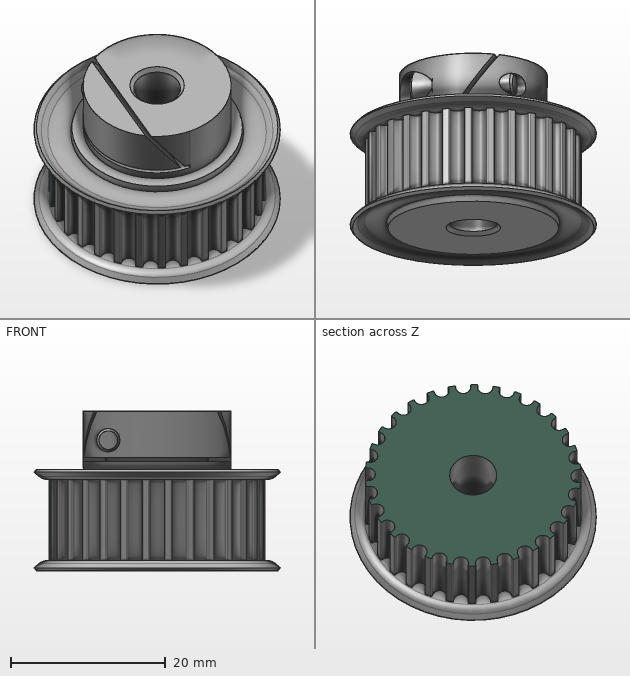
import cadquery as cq
import math


tooth_count = 30
tip_radius = 13.95
groove_radius = 0.95
groove_depth = 1.3
lip_radius = 0.15
body_height = 13.1

flange_radius = 15.9
flange_thickness = 0.5
bend_start_radius = 14.1
bend_inner_radius = 1.3
bend_angle = math.radians(40.5)
collar_top_radius = 11.0
collar_base_radius = 11.15

bend_outer_radius = bend_inner_radius + flange_thickness
arc_end_radius = bend_start_radius + bend_outer_radius * math.sin(bend_angle)
cone_rise = (flange_radius - arc_end_radius) * math.tan(bend_angle)
rim_edge_run = flange_thickness * math.sin(bend_angle)
rim_edge_rise = flange_thickness * math.cos(bend_angle)
rim_tip_z = body_height - rim_edge_rise
bend_center_z = rim_tip_z - cone_rise + bend_outer_radius * math.cos(bend_angle)
flange_floor_z = bend_center_z - bend_inner_radius
flange_underside_z = flange_floor_z - flange_thickness

hub_radius = 9.55
total_height = 20.6
bore_radius = 3.0
bore_chamfer = 0.5

slot_width = 0.5
slot_bottom = 14.1
slot_core_radius = 6.66
slit_top_y = -4.94
slit_angle = 35
slit_length = 7.55

screw_x = -6.3
screw_z = (body_height + total_height) / 2
shank_radius = 1.5
shank_tip_y = -7.2
shank_chamfer = 0.3
head_radius = 2.68
head_seat_y = 3.13
head_end_y = 6.15
head_chamfer = 0.27
counterbore_radius = 2.75


def cylinder_z(radius, bottom, top):
    return cq.Workplane("XY").workplane(offset=bottom).circle(radius).extrude(top - bottom)


def cylinder_y(radius, start, end):
    """Cylinder on the clamp screw axis between two Y positions."""
    plane = cq.Plane(origin=(screw_x, start, screw_z), xDir=(1, 0, 0), normal=(0, 1, 0))
    return cq.Workplane(plane).circle(radius).extrude(end - start)


def tooth_groove():
    """Round-bottomed groove cutter on +Y with rounded lips at the tooth tips."""
    arc_y = tip_radius - groove_depth + groove_radius
    lip_x = groove_radius + lip_radius
    lip_y = math.sqrt((tip_radius - lip_radius) ** 2 - lip_x ** 2)
    to_tip = tip_radius / (tip_radius - lip_radius)
    mouth_x = lip_x * to_tip
    mouth_y = lip_y * to_tip
    outside_y = tip_radius + lip_radius
    return (
        cq.Workplane("XY")
        .moveTo(-groove_radius, arc_y)
        .threePointArc((0, arc_y - groove_radius), (groove_radius, arc_y))
        .lineTo(groove_radius, lip_y)
        .radiusArc((mouth_x, mouth_y), lip_radius)
        .lineTo(mouth_x, outside_y)
        .lineTo(-mouth_x, outside_y)
        .lineTo(-mouth_x, mouth_y)
        .radiusArc((-groove_radius, lip_y), lip_radius)
        .close()
        .extrude(body_height)
    )


def toothed_body():
    body = cylinder_z(tip_radius, body_height - flange_underside_z, flange_underside_z)
    groove = tooth_groove().val()
    turn = 360 / tooth_count
    grooves = [groove.rotate((0, 0, 0), (0, 0, 1), index * turn) for index in range(tooth_count)]
    return cq.Workplane(body.val().cut(*grooves))


def bend_point(radius, angle):
    """Point on the flange bend, as (distance from axis, height)."""
    return (bend_start_radius + radius * math.sin(angle), bend_center_z - radius * math.cos(angle))


def top_flange():
    """Flat ring bent upward at its rim, with its rim level with the body top."""
    return (
        cq.Workplane("XZ")
        .moveTo(0, flange_underside_z)
        .lineTo(bend_start_radius, flange_underside_z)
        .threePointArc(
            bend_point(bend_outer_radius, bend_angle / 2),
            bend_point(bend_outer_radius, bend_angle),
        )
        .lineTo(flange_radius, rim_tip_z)
        .lineTo(flange_radius - rim_edge_run, body_height)
        .lineTo(*bend_point(bend_inner_radius, bend_angle))
        .threePointArc(
            bend_point(bend_inner_radius, bend_angle / 2),
            (bend_start_radius, flange_floor_z),
        )
        .lineTo(collar_base_radius, flange_floor_z)
        .lineTo(collar_top_radius, body_height)
        .lineTo(0, body_height)
        .close()
        .revolve(360, (0, 0, 0), (0, 1, 0))
    )


def mirrored_to_bottom(shape):
    return shape.mirror("XY", (0, 0, body_height / 2))


def jaw_slot():
    """Flat half-ring slot under the clamp jaw, on the -Y side."""
    slot_top = slot_bottom + slot_width
    ring = cylinder_z(hub_radius * 2, slot_bottom, slot_top)
    ring = ring.cut(cylinder_z(slot_core_radius, slot_bottom, slot_top))
    reach = hub_radius * 4
    half = cq.Workplane("XY").box(reach, reach, total_height, centered=(True, False, False))
    return ring.cut(half)


def jaw_slit():
    """Slanted slit across the hub that separates the jaw from the bore side."""
    overrun = 1.0
    slit = (
        cq.Workplane("XY")
        .box(hub_radius * 4, slot_width, slit_length + overrun, centered=(True, False, False))
        .translate((0, -slot_width, -slit_length))
        .rotate((0, 0, 0), (1, 0, 0), slit_angle)
    )
    return slit.translate((0, slit_top_y, total_height))


def clamp_screw():
    shank = cylinder_y(shank_radius, shank_tip_y, head_seat_y).faces("<Y").chamfer(shank_chamfer)
    head = cylinder_y(head_radius, head_seat_y, head_end_y).faces(">Y").chamfer(head_chamfer)
    return shank.union(head)


def clamp_hub():
    hub = cylinder_z(hub_radius, body_height, total_height)
    hub = hub.cut(cylinder_y(counterbore_radius, head_seat_y, hub_radius))
    hub = hub.cut(cylinder_y(shank_radius, -hub_radius, head_seat_y))
    hub = hub.cut(jaw_slot())
    return hub.cut(jaw_slit())


def bore():
    mouth_radius = bore_radius + bore_chamfer
    return (
        cq.Workplane("XZ")
        .lineTo(mouth_radius, 0)
        .lineTo(bore_radius, bore_chamfer)
        .lineTo(bore_radius, total_height - bore_chamfer)
        .lineTo(mouth_radius, total_height)
        .lineTo(0, total_height)
        .close()
        .revolve(360, (0, 0, 0), (0, 1, 0))
    )


flange = top_flange()
pulley = toothed_body().union(flange).union(mirrored_to_bottom(flange))
pulley = pulley.union(clamp_hub()).cut(bore())
result = pulley.union(clamp_screw())